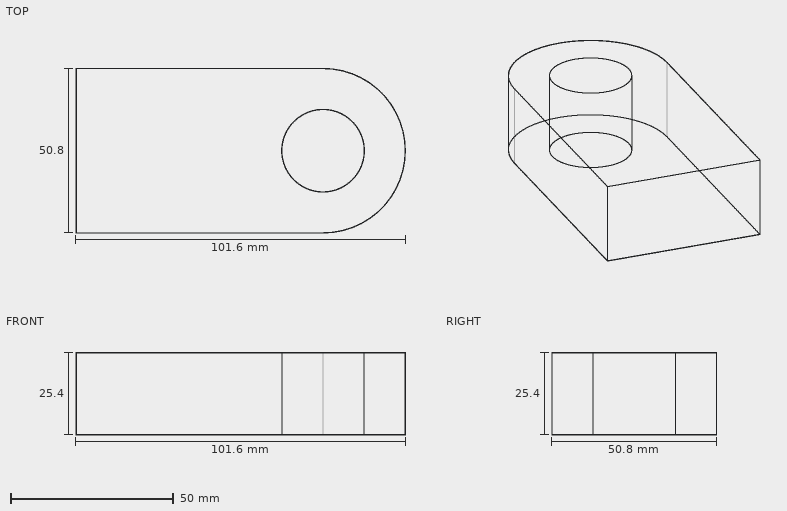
import cadquery as cq

length = 101.6
width = 50.8
thickness = 25.4
hole_diameter = 25.4

end_radius = width / 2
straight_length = length - end_radius


def plate():
    """Flat bar with a square end at X = 0 and a rounded end at X = length."""
    return (
        cq.Workplane("XY")
        .moveTo(0, -end_radius)
        .lineTo(straight_length, -end_radius)
        .threePointArc((length, 0), (straight_length, end_radius))
        .lineTo(0, end_radius)
        .close()
        .extrude(thickness)
    )


def pin_hole():
    """Cylinder that cuts the through hole in the rounded end."""
    return (
        cq.Workplane("XY")
        .center(straight_length, 0)
        .circle(hole_diameter / 2)
        .extrude(thickness)
    )


result = plate().cut(pin_hole())